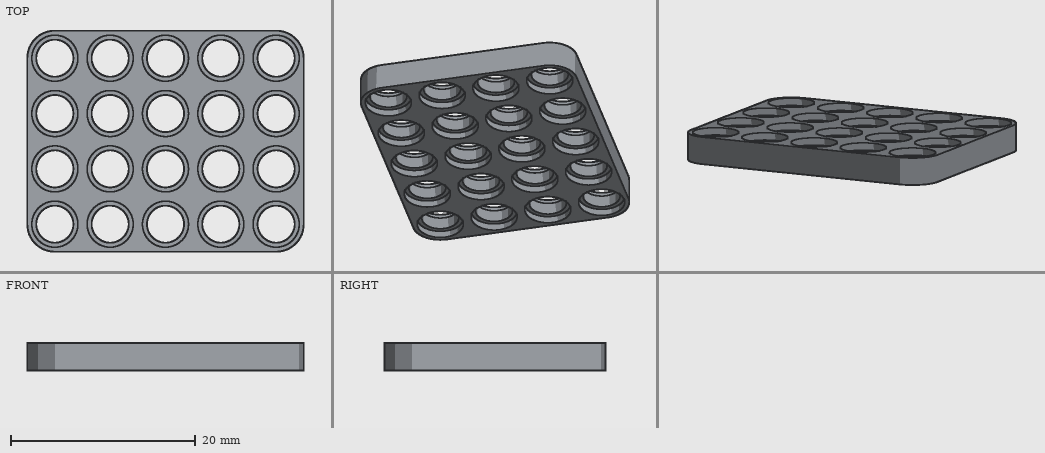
import cadquery as cq

pitch = 6.0
columns = 5
rows = 4
thickness = 3.0
length = columns * pitch
width = rows * pitch
corner_radius = pitch / 2

hole_diameter = 4.0
counterbore_diameter = 5.0
counterbore_depth = 0.8


def make_plate():
    """Rounded rectangular plate, centred in X and Y, with its base at Z = 0."""
    plate = cq.Workplane("XY").box(length, width, thickness, centered=(True, True, False))
    return plate.edges("|Z").fillet(corner_radius)


def make_pin_grid(diameter, base_height, height):
    """Cylinders on the hole grid, rising from base_height."""
    return (
        cq.Workplane("XY", origin=(0, 0, base_height))
        .rarray(pitch, pitch, columns, rows)
        .circle(diameter / 2)
        .extrude(height)
    )


def cut_holes(plate):
    """Through holes with equal counterbores in the top and bottom faces."""
    plate = plate.cut(make_pin_grid(hole_diameter, 0, thickness))
    for base_height in (0, thickness - counterbore_depth):
        plate = plate.cut(make_pin_grid(counterbore_diameter, base_height, counterbore_depth))
    return plate


result = cut_holes(make_plate())